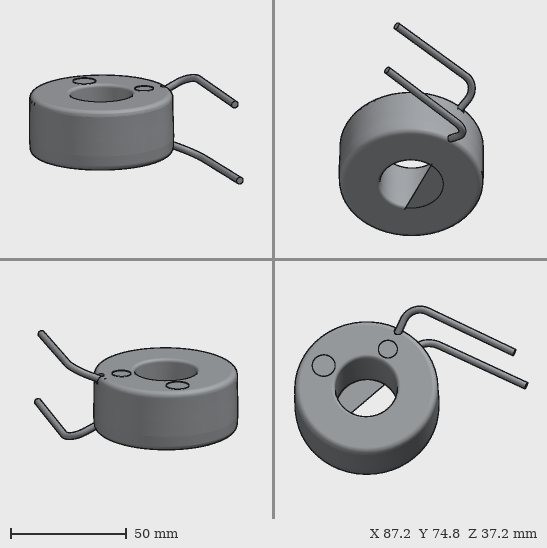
import cadquery as cq

body_tilt = -0.9
half_height = 13.4
belt_radius = 31.3
shoulder_radius = 31.2
top_radius = 31.0
bottom_radius = 30.9
shoulder_z = -0.2
belt_z = -6.6
outer_fillet = 2.5

bore_radius = 13.3
bore_draft = 0.2
bore_parting_z = -3.1
bore_fillet = 1.5

web_thickness = 0.35
web_edge_angle = 69.5
web_edge_offset = 3.4

marking_recesses = [(-21.0, 0.5, 5.0), (0.35, 19.8, 4.1)]
marking_depth = 0.35

wire_diameter = 3.1
bend_radius = 8.0
run_end = 50.1
leg_length = 22.7
leg_slope = 25.0
corner_y = 41.9
top_corner_z = 17.2
bottom_corner_z = -17.1
top_wire_x = 0.2
bottom_wire_x = 5.9
bottom_wire_tilt = 2 * body_tilt

slot_radius = 1.75
slot_x = 0.5
slot_end_y = 29.3
slot_depth = 3.5

ORIGIN = (0, 0, 0)
X_AXIS = (1, 0, 0)
Y_AXIS = (0, 1, 0)
Z_AXIS = (0, 0, 1)


def make_ring():
    """Revolve the drafted ring section and round its four rims."""
    rim_bore_radius = bore_radius + bore_draft
    section = [
        (rim_bore_radius, half_height),
        (top_radius, half_height),
        (shoulder_radius, shoulder_z),
        (belt_radius, belt_z),
        (bottom_radius, -half_height),
        (rim_bore_radius, -half_height),
        (bore_radius, bore_parting_z),
    ]
    ring = cq.Workplane("XZ").polyline(section).close().revolve(360, (0, 0), (0, 1))
    for end_face in (">Z", "<Z"):
        ring = ring.faces(end_face).edges(cq.selectors.RadiusNthSelector(-1)).fillet(outer_fillet)
        ring = ring.faces(end_face).edges(cq.selectors.RadiusNthSelector(0)).fillet(bore_fillet)
    return ring


def make_web():
    """Circular segment across the bore, on the -X side of its straight edge."""
    reach = bore_radius + 2 * bore_fillet
    keep_size = 4 * reach
    disc = cq.Workplane("XY", origin=(0, 0, -half_height)).circle(reach).extrude(web_thickness)
    keep = (
        cq.Workplane("XY")
        .box(keep_size, keep_size, keep_size)
        .translate((-keep_size / 2 - web_edge_offset, 0, 0))
        .rotate(ORIGIN, Z_AXIS, web_edge_angle - 90)
    )
    return disc.intersect(keep)


def make_marking_recesses():
    """Shallow discs to sink into the top face."""
    discs = cq.Workplane("XY")
    for x, y, radius in marking_recesses:
        disc = cq.Workplane("XY", origin=(x, y, half_height)).circle(radius).extrude(-marking_depth)
        discs = discs.add(disc)
    return discs.combine()


def make_wire():
    """Flat bent wire: leg along Y, run along X, their axes crossing at the origin."""
    path = (
        cq.Workplane("XY")
        .moveTo(0, -leg_length)
        .lineTo(0, -bend_radius)
        .tangentArcPoint((bend_radius, 0), relative=False)
        .lineTo(run_end, 0)
    )
    start = cq.Workplane("XZ", origin=(0, -leg_length, 0))
    return start.circle(wire_diameter / 2).sweep(path)


def make_wire_slot():
    """Slot cutter running from its rounded end out through the +Y rim."""
    length = belt_radius - slot_end_y + slot_radius
    top = cq.Workplane("XY", origin=(slot_x, slot_end_y, half_height))
    round_end = top.circle(slot_radius).extrude(-slot_depth)
    channel = top.center(0, length / 2).rect(2 * slot_radius, length).extrude(-slot_depth)
    return round_end.union(channel)


def place(shape, slope, tilt, x, z):
    """Slope a leg towards the ring, tilt it about Y and move its corner into place."""
    sloped = shape.rotate(ORIGIN, X_AXIS, slope).rotate(ORIGIN, Y_AXIS, tilt)
    return sloped.translate((x, corner_y, z))


body = make_ring().union(make_web()).cut(make_marking_recesses()).cut(make_wire_slot())
body = body.rotate(ORIGIN, Y_AXIS, body_tilt)

top_wire = place(make_wire(), leg_slope, 0, top_wire_x, top_corner_z)
bottom_wire = place(make_wire(), -leg_slope, bottom_wire_tilt, bottom_wire_x, bottom_corner_z)

result = body.union(top_wire).union(bottom_wire)